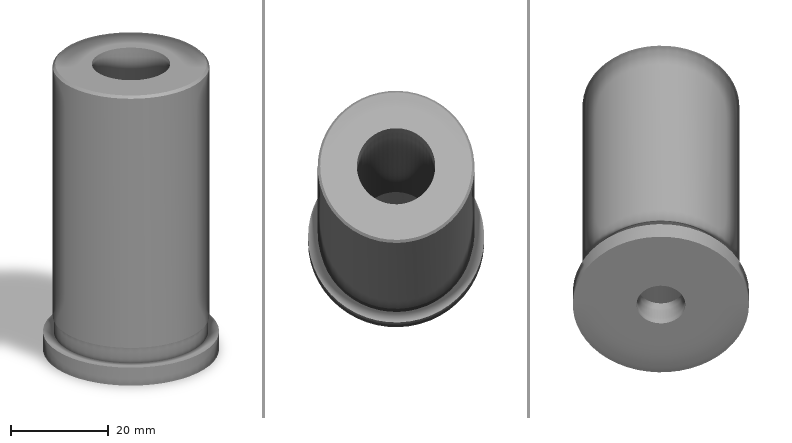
import cadquery as cq
import math

total_height = 64.0
flange_diameter = 36.0
flange_height = 4.0
body_diameter = 32.0

relief_diameter = 31.55
relief_height = 3.5

chamfer_width = 0.5
chamfer_height = 0.5

bore_diameter = 16.0
outlet_diameter = 10.0
outlet_depth = 6.4
seat_angle = 82.0

flange_radius = flange_diameter / 2
body_radius = body_diameter / 2
relief_radius = relief_diameter / 2
bore_radius = bore_diameter / 2
outlet_radius = outlet_diameter / 2

relief_top = flange_height + relief_height
seat_height = (bore_radius - outlet_radius) / math.tan(math.radians(seat_angle / 2))

half_section = [
    (outlet_radius, 0),
    (flange_radius, 0),
    (flange_radius, flange_height),
    (relief_radius, flange_height),
    (relief_radius, relief_top),
    (body_radius, relief_top),
    (body_radius, total_height - chamfer_height),
    (body_radius - chamfer_width, total_height),
    (bore_radius, total_height),
    (bore_radius, outlet_depth + seat_height),
    (outlet_radius, outlet_depth),
]

result = cq.Workplane("XZ").polyline(half_section).close().revolve(360, (0, 0), (0, 1))